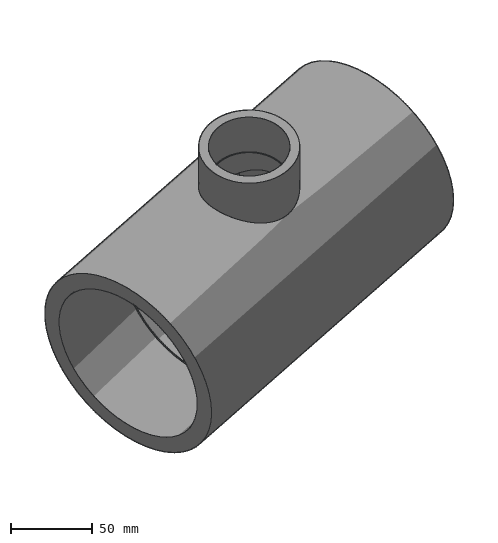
import cadquery as cq

pipe_length = 234
pipe_diameter = 133.0
pipe_socket_diameter = 110.0
pipe_bore_diameter = 107.2
pipe_socket_depth = 62.0

branch_top = 98.0
branch_diameter = 62.2
branch_socket_diameter = 50.0
branch_bore_diameter = 48.7
branch_socket_depth = 31.0


def pipe_cylinder(diameter, start, length):
    """Cylinder on the pipe axis, from Y = start towards +Y."""
    return cq.Workplane("XZ", origin=(0, start, 0)).circle(diameter / 2).extrude(-length)


def branch_cylinder(diameter, depth):
    """Cylinder on the branch axis, from the branch top down by depth."""
    return cq.Workplane("XY", origin=(0, 0, branch_top)).circle(diameter / 2).extrude(-depth)


pipe_start = -pipe_length / 2

body = pipe_cylinder(pipe_diameter, pipe_start, pipe_length)
body = body.union(branch_cylinder(branch_diameter, branch_top))

body = body.cut(pipe_cylinder(pipe_bore_diameter, pipe_start, pipe_length))
for socket_start in (pipe_start, -pipe_start - pipe_socket_depth):
    body = body.cut(pipe_cylinder(pipe_socket_diameter, socket_start, pipe_socket_depth))

body = body.cut(branch_cylinder(branch_bore_diameter, branch_top))
body = body.cut(branch_cylinder(branch_socket_diameter, branch_socket_depth))

result = body